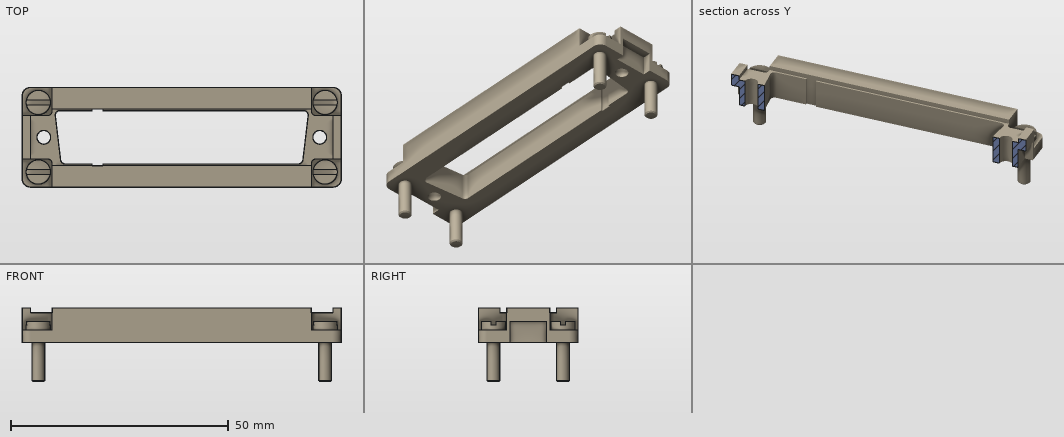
import cadquery as cq

frame_length = 73.5
frame_width = 23.0
frame_height = 8.0
corner_radius = 2.0

platform_step = 1.1
platform_z = frame_height - platform_step
platform_half_width = 6.5
end_lip_length = 2.0

pocket_length = 6.9
pocket_inner_y = 5.0
pocket_radius = 1.0
seat_z = 2.9

opening_half_width = 6.1
opening_half_length_back = 29.2
opening_half_length_front = 27.75
opening_radius = 1.0

key_slot_center_x = -19.4
key_slot_length = 2.5

jackscrew_spacing = 63.5
jackscrew_diameter = 3.1
end_recess_depth = 2.0
end_recess_width = 8.3
end_recess_height = 4.9

screw_x = 33.0
screw_y = 8.0
head_diameter = 5.6
head_height = 2.0
head_edge_radius = 0.2
slot_width = 1.2
slot_depth = 0.9
shank_diameter = 3.0
shank_tip_z = -9.0
shank_chamfer = 0.3

SIDES = (-1, 1)


def block(x_range, y_range, z_range):
    """Axis-aligned box spanning the given coordinate ranges."""
    size = [high - low for low, high in (x_range, y_range, z_range)]
    return cq.Workplane("XY").box(*size, centered=False).translate((x_range[0], y_range[0], z_range[0]))


def make_blank():
    """Rounded plate with the platform channel cut between the end lips."""
    blank = cq.Workplane("XY").box(frame_length, frame_width, frame_height, centered=(True, True, False))
    blank = blank.edges("|Z").fillet(corner_radius)
    channel_half_length = frame_length / 2 - end_lip_length
    channel = block(
        (-channel_half_length, channel_half_length),
        (-platform_half_width, platform_half_width),
        (platform_z, frame_height),
    )
    return blank.cut(channel)


def make_corner_pocket(x_side, y_side):
    """Pocket open to the outside of one corner, with its inner corner rounded."""
    length = 2 * pocket_length
    width = 2 * (frame_width / 2 - pocket_inner_y)
    return (
        cq.Workplane("XY", origin=(x_side * frame_length / 2, y_side * frame_width / 2, seat_z))
        .rect(length, width)
        .extrude(frame_height - seat_z)
        .edges("|Z")
        .fillet(pocket_radius)
    )


def make_opening():
    """Through opening, longer along +Y than along -Y, with the key slot."""
    opening = (
        cq.Workplane("XY")
        .polyline([
            (-opening_half_length_back, opening_half_width),
            (opening_half_length_back, opening_half_width),
            (opening_half_length_front, -opening_half_width),
            (-opening_half_length_front, -opening_half_width),
        ])
        .close()
        .extrude(frame_height)
        .edges("|Z")
        .fillet(opening_radius)
    )
    key_slot = block(
        (key_slot_center_x - key_slot_length / 2, key_slot_center_x + key_slot_length / 2),
        (-platform_half_width, platform_half_width),
        (0, frame_height),
    )
    return opening.union(key_slot)


def make_jackscrew_hole(x_side):
    """Vertical through hole in one end of the platform."""
    return (
        cq.Workplane("XY")
        .center(x_side * jackscrew_spacing / 2, 0)
        .circle(jackscrew_diameter / 2)
        .extrude(frame_height)
    )


def make_end_recess(x_side):
    """Shallow recess in one end face, open at the underside."""
    return (
        cq.Workplane("XY")
        .center(x_side * frame_length / 2, 0)
        .rect(2 * end_recess_depth, end_recess_width)
        .extrude(end_recess_height)
    )


def make_screw():
    """Slotted screw on the Z axis, its head resting on the pocket floor."""
    head = (
        cq.Workplane("XY", origin=(0, 0, seat_z))
        .circle(head_diameter / 2)
        .extrude(head_height)
        .faces(">Z")
        .edges()
        .fillet(head_edge_radius)
    )
    head_top = seat_z + head_height
    slot = block(
        (-head_diameter / 2, head_diameter / 2),
        (-slot_width / 2, slot_width / 2),
        (head_top - slot_depth, head_top),
    )
    shank = (
        cq.Workplane("XY", origin=(0, 0, shank_tip_z))
        .circle(shank_diameter / 2)
        .extrude(seat_z - shank_tip_z)
        .faces("<Z")
        .chamfer(shank_chamfer)
    )
    return head.cut(slot).union(shank)


frame = make_blank().cut(make_opening())
for x_side in SIDES:
    frame = frame.cut(make_jackscrew_hole(x_side))
    frame = frame.cut(make_end_recess(x_side))
    for y_side in SIDES:
        frame = frame.cut(make_corner_pocket(x_side, y_side))

screw = make_screw()
result = frame
for x_side in SIDES:
    for y_side in SIDES:
        result = result.union(screw.translate((x_side * screw_x, y_side * screw_y, 0)))